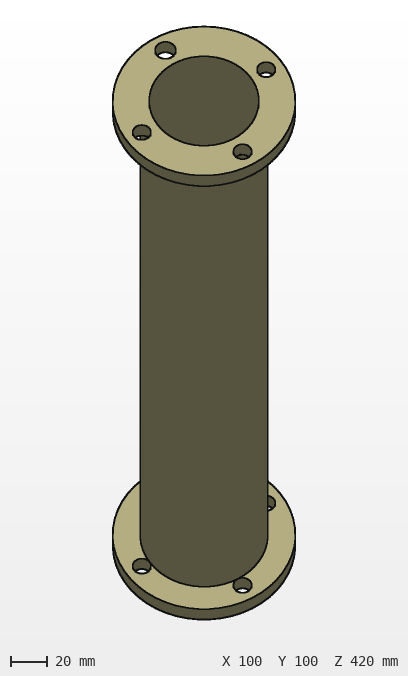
import cadquery as cq

total_length = 420.0
flange_diameter = 100.0
flange_thickness = 10.0
pipe_diameter = 70.0
bore_diameter = 60.0
bolt_hole_diameter = 10.0
bolt_circle_diameter = 80.0
bolt_count = 4
long_hole_diameter = 11.36

bolt_circle_radius = bolt_circle_diameter / 2


def make_flange(bottom_z):
    """Disc with a ring of bolt holes, its lower face at bottom_z."""
    disc = cq.Workplane("XY", origin=(0, 0, bottom_z)).circle(flange_diameter / 2).extrude(flange_thickness)
    bolt_holes = (
        cq.Workplane("XY", origin=(0, 0, bottom_z))
        .polarArray(bolt_circle_radius, 0, 360, bolt_count)
        .circle(bolt_hole_diameter / 2)
        .extrude(flange_thickness)
    )
    return disc.cut(bolt_holes)


def make_body():
    """Solid cylinder with a flange at each end."""
    pipe = (
        cq.Workplane("XY", origin=(0, 0, flange_thickness))
        .circle(pipe_diameter / 2)
        .extrude(total_length - 2 * flange_thickness)
    )
    lower_flange = make_flange(0)
    upper_flange = make_flange(total_length - flange_thickness)
    return pipe.union(lower_flange).union(upper_flange)


def make_bore():
    """Cutter for the bore along the whole axis."""
    return cq.Workplane("XY").circle(bore_diameter / 2).extrude(total_length)


def make_long_hole():
    """Cutter that widens the -X bolt holes and leaves a shallow groove along the pipe."""
    return (
        cq.Workplane("XY")
        .center(-bolt_circle_radius, 0)
        .circle(long_hole_diameter / 2)
        .extrude(total_length)
    )


result = make_body().cut(make_bore()).cut(make_long_hole())